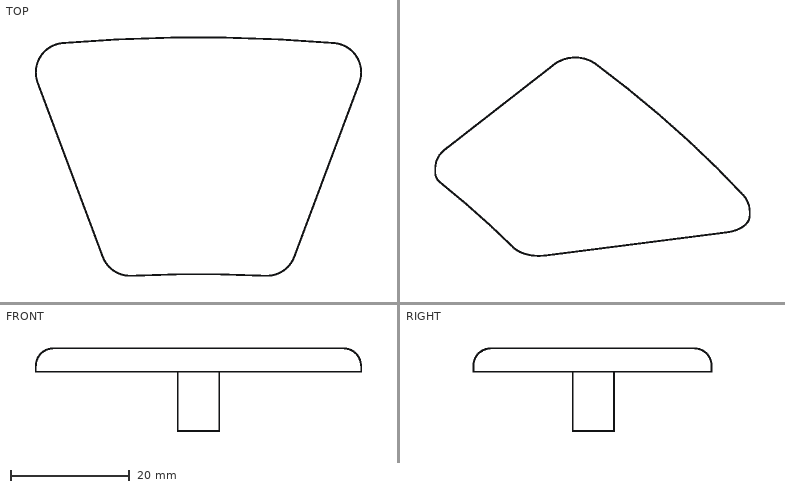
import cadquery as cq
import math

plate_width = 54.85
plate_thickness = 4.0
half_depth = 19.95
mid_arc_radius = 255.05
side_angle = math.radians(20.5)
corner_radius = 5.0
top_round_radius = 2.95
pin_diameter = 7.0
pin_length = 10.0

arc_center_y = -mid_arc_radius
outer_radius = mid_arc_radius + half_depth
inner_radius = mid_arc_radius - half_depth

corner_x = plate_width / 2 - corner_radius
corner_y = arc_center_y + math.sqrt((outer_radius - corner_radius) ** 2 - corner_x ** 2)

side_x = corner_x + corner_radius / math.cos(side_angle) - corner_y * math.tan(side_angle)


def side_point(radius):
    """Point where the +X straight side meets an arc about the shared center."""
    offset = side_x * math.cos(side_angle) + arc_center_y * math.sin(side_angle)
    along = math.sqrt(radius ** 2 - offset ** 2)
    x = offset * math.cos(side_angle) + along * math.sin(side_angle)
    y = arc_center_y - offset * math.sin(side_angle) + along * math.cos(side_angle)
    return x, y


def make_plate():
    """Tapered plate with rounded corners and a rounded upper rim."""
    outer_x, outer_y = side_point(outer_radius)
    inner_x, inner_y = side_point(inner_radius)
    plate = (
        cq.Workplane("XY")
        .moveTo(-outer_x, outer_y)
        .threePointArc((0, half_depth), (outer_x, outer_y))
        .lineTo(inner_x, inner_y)
        .threePointArc((0, -half_depth), (-inner_x, inner_y))
        .close()
        .extrude(plate_thickness)
    )
    plate = plate.edges("|Z").fillet(corner_radius)
    return plate.faces(">Z").edges().fillet(top_round_radius)


def make_pin():
    """Round pin hanging from the underside of the plate."""
    return cq.Workplane("XY").circle(pin_diameter / 2).extrude(-pin_length)


result = make_plate().union(make_pin())